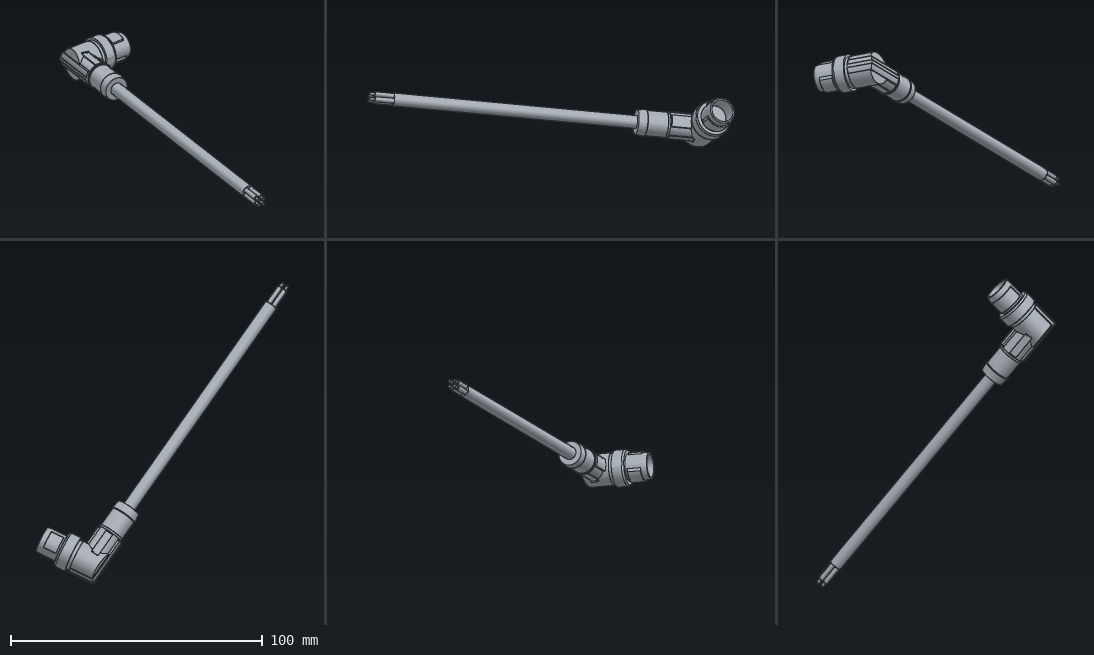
import cadquery as cq
import math


head_lean = 8.0
body_radius = 6.5
body_top = 6.0
body_bottom = -8.7
throat_radius = 6.4
collar_bottom = 7.5
collar_shoulder = 11.7
collar_top = 12.5
collar_radius = 7.5
collar_top_radius = 7.0
collar_flat_distance = 7.3
nose_radius = 5.5
nose_tip_radius = 5.2
nose_bevel_start = 20.0
nose_top = 21.4
socket_radius = 4.5
socket_depth = 7.3

pad_radius = 6.1
pad_bottom = 13.4
pad_top = 19.0
upper_pad_width = 7.1
lower_pad_width = 10.3

keel_half_width = 2.9
keel_crest_half_width = 0.7
side_keel_radius = 6.8
side_crest_radius = 7.1
bottom_keel_radius = 5.8
bottom_crest_radius = 6.1
roof_eave = -4.1
roof_ridge = -5.1

neck_radius = 5.1
rib_end = 13.5
side_rib_half_width = 1.6
top_rib_half_width = 2.5
top_rib_radius = bottom_keel_radius
side_rib_start = 3.2
side_rib_height = 5.2
ring_radius = 5.4
ring_start = 14.0
ring_end = 14.9
bead_start = 23.2
bead_peak = 23.5
ferrule_end = 27.0
ferrule_end_radius = 5.0

overall_length = 145.6
left_extent = 8.9
conductor_end = overall_length - left_extent
core_end = conductor_end - 2.0
jacket_end = conductor_end - 9.9
jacket_radius = 2.6
core_radius = 1.0
core_offset = 1.09
conductor_radius = 0.6
core_overlap = 1.5

lean = math.radians(head_lean)
head_axis = cq.Vector(-math.sin(lean), math.cos(lean), 0)
head_across = cq.Vector(math.cos(lean), math.sin(lean), 0)


def head_plane(distance):
    """Plane across the head axis at a distance from the origin."""
    return cq.Workplane(cq.Plane(origin=(head_axis * distance).toTuple(),
                                 xDir=head_across.toTuple(), normal=head_axis.toTuple()))


def head_cylinder(radius, start, end):
    return head_plane(start).circle(radius).extrude(end - start)


def head_cone(start_radius, start, end_radius, end):
    return head_plane(start).circle(start_radius).workplane(offset=end - start).circle(end_radius).loft()


def x_cylinder(radius, start, end, y=0, z=0):
    return cq.Workplane("YZ", origin=(start, 0, 0)).center(y, z).circle(radius).extrude(end - start)


def arched_bar(plane, radius, half_width, length, side=-1):
    """Bar from the centre of the plane out to an arc, on one side along local x."""
    shoulder = side * math.sqrt(radius**2 - half_width**2)
    return (
        plane
        .moveTo(0, -half_width)
        .lineTo(shoulder, -half_width)
        .threePointArc((side * radius, 0), (shoulder, half_width))
        .lineTo(0, half_width)
        .close()
        .extrude(length)
    )


def bottom_keel_prism(start, end):
    """Lower keel with its raised crest, running along the cable axis."""
    plane = cq.Workplane("YZ", origin=(start, 0, 0))
    keel = arched_bar(plane, bottom_keel_radius, keel_half_width, end - start)
    return keel.union(arched_bar(plane, bottom_crest_radius, keel_crest_half_width, end - start))


def elbow_body():
    """Round body with its side and bottom keels, cut off below by two sloping roof faces."""
    body_length = body_top - body_bottom
    base = head_plane(body_bottom)
    body = (
        head_cylinder(body_radius, body_bottom, body_top)
        .union(arched_bar(base, side_keel_radius, keel_half_width, body_length))
        .union(arched_bar(base, side_crest_radius, keel_crest_half_width, body_length))
    )
    keel_blank = (
        cq.Workplane("YZ")
        .center(-body_radius / 2, 0)
        .rect(body_radius, 2 * keel_half_width)
        .extrude(rib_end)
    )
    reach = rib_end + body_radius
    envelope = (
        cq.Workplane("YZ", origin=(-reach, 0, 0))
        .polyline([
            (reach, -body_radius),
            (roof_eave, -body_radius),
            (roof_ridge, 0),
            (roof_eave, body_radius),
            (reach, body_radius),
        ])
        .close()
        .extrude(2 * reach)
        .union(bottom_keel_prism(-reach, reach))
    )
    return body.union(keel_blank).intersect(envelope)


def collar():
    ring = head_cylinder(collar_radius, collar_bottom, collar_shoulder)
    ring = ring.union(head_cone(collar_radius, collar_shoulder, collar_top_radius, collar_top))
    flats = head_plane(collar_bottom).rect(2 * collar_flat_distance, 2 * collar_radius)
    return ring.intersect(flats.extrude(collar_top - collar_bottom))


def nose():
    pads = head_cylinder(pad_radius, pad_bottom, pad_top)
    pad_limits = (
        head_plane(pad_bottom)
        .center(0, -pad_radius / 2).rect(upper_pad_width, pad_radius)
        .extrude(pad_top - pad_bottom)
        .union(
            head_plane(pad_bottom)
            .center(0, pad_radius / 2).rect(lower_pad_width, pad_radius)
            .extrude(pad_top - pad_bottom)
        )
    )
    return (
        head_cylinder(nose_radius, collar_bottom, nose_bevel_start)
        .union(head_cone(nose_radius, nose_bevel_start, nose_tip_radius, nose_top))
        .union(pads.intersect(pad_limits))
        .cut(head_cylinder(socket_radius, nose_top - socket_depth, nose_top))
    )


def neck():
    """Ringed neck and ferrule, turned about the cable axis."""
    return (
        cq.Workplane("XY")
        .polyline([
            (0, 0),
            (0, neck_radius),
            (ring_start, neck_radius),
            (ring_start, ring_radius),
            (ring_end, ring_radius),
            (ring_end, neck_radius),
            (bead_start, neck_radius),
            (bead_peak, ring_radius),
            (ferrule_end, ferrule_end_radius),
            (ferrule_end, 0),
        ])
        .close()
        .revolve(360, (0, 0, 0), (1, 0, 0))
    )


def top_rib():
    return arched_bar(cq.Workplane("YZ"), top_rib_radius, top_rib_half_width, rib_end, side=1)


def side_rib_bar(height):
    """Flat bar centred on the cable axis, reaching the same height above and below it."""
    length = rib_end - side_rib_start
    bar = cq.Workplane().box(length, 2 * side_rib_half_width, 2 * height)
    return bar.translate((side_rib_start + length / 2, 0, 0))


def cable():
    jacket = x_cylinder(jacket_radius, ferrule_end - core_overlap, jacket_end)
    for y in (-core_offset, core_offset):
        for z in (-core_offset, core_offset):
            jacket = jacket.union(x_cylinder(core_radius, jacket_end - core_overlap, core_end, y, z))
            jacket = jacket.union(x_cylinder(conductor_radius, core_end - core_overlap, conductor_end, y, z))
    return jacket


throat = head_cylinder(throat_radius, 0, collar_bottom)

body_with_pockets = elbow_body().cut(side_rib_bar(body_radius))

result = (
    body_with_pockets
    .union(side_rib_bar(side_rib_height))
    .union(throat)
    .union(collar())
    .union(nose())
    .union(neck())
    .union(top_rib())
    .union(cable())
    .clean()
)